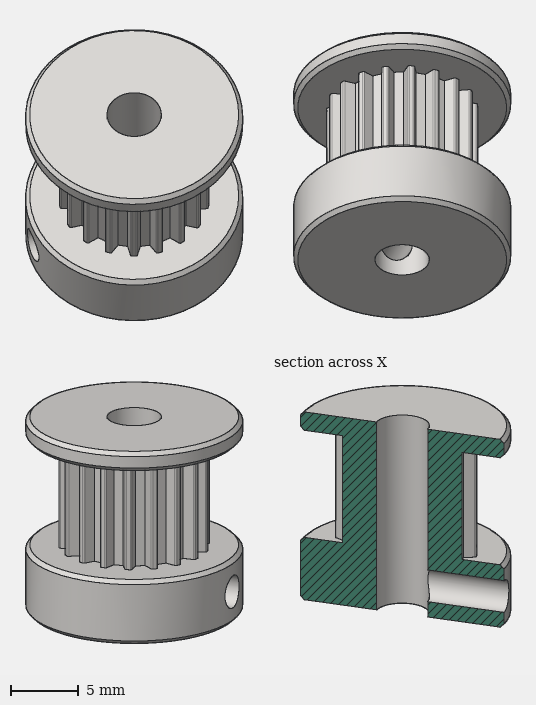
import cadquery as cq
import math

flange_radius = 8.0
hub_height = 5.0
drum_height = 8.5
cap_height = 1.5
total_height = hub_height + drum_height + cap_height
rim_chamfer = 0.3

bore_diameter = 4.0
screw_hole_diameter = 2.5
screw_hole_height = hub_height / 2

tooth_count = 18
pitch_angle = 360 / tooth_count
tip_radius = 5.57
groove_floor_radius = 4.69
groove_floor_width = 0.7
groove_flank_angle = 25.0
tip_fillet = 0.13
first_groove_angle = -90.0


def make_flange(base_height, height):
    """Disc with both rims chamfered."""
    disc = cq.Workplane("XY").workplane(offset=base_height).circle(flange_radius).extrude(height)
    return disc.faces("<Z or >Z").edges().chamfer(rim_chamfer)


def make_groove_cutter():
    """Trapezoidal prism along +X that widens outwards past the tooth tips."""
    outer_radius = tip_radius + tip_fillet
    floor_half = groove_floor_width / 2
    flank_spread = (outer_radius - groove_floor_radius) * math.tan(math.radians(groove_flank_angle))
    outer_half = floor_half + flank_spread
    outline = [
        (groove_floor_radius, -floor_half),
        (outer_radius, -outer_half),
        (outer_radius, outer_half),
        (groove_floor_radius, floor_half),
    ]
    return cq.Workplane("XY").workplane(offset=hub_height).polyline(outline).close().extrude(drum_height)


def is_tip_edge(edge):
    """True for the edges where a groove flank meets a tooth tip."""
    center = edge.Center()
    return math.hypot(center.x, center.y) > (groove_floor_radius + tip_radius) / 2


def make_drum():
    """Toothed drum with rounded tooth tips."""
    drum = cq.Workplane("XY").workplane(offset=hub_height).circle(tip_radius).extrude(drum_height)
    drum = drum.rotate((0, 0, 0), (0, 0, 1), pitch_angle / 2)
    cutter = make_groove_cutter()
    for index in range(tooth_count):
        angle = first_groove_angle + index * pitch_angle
        drum = drum.cut(cutter.rotate((0, 0, 0), (0, 0, 1), angle))
    return drum.edges("|Z").filter(is_tip_edge).fillet(tip_fillet)


hub = make_flange(0, hub_height)
cap = make_flange(hub_height + drum_height, cap_height)
body = hub.union(make_drum()).union(cap)

bore = cq.Workplane("XY").circle(bore_diameter / 2).extrude(total_height)

screw_hole = (
    cq.Workplane("XZ")
    .center(0, screw_hole_height)
    .circle(screw_hole_diameter / 2)
    .extrude(flange_radius)
)

result = body.cut(bore).cut(screw_hole)